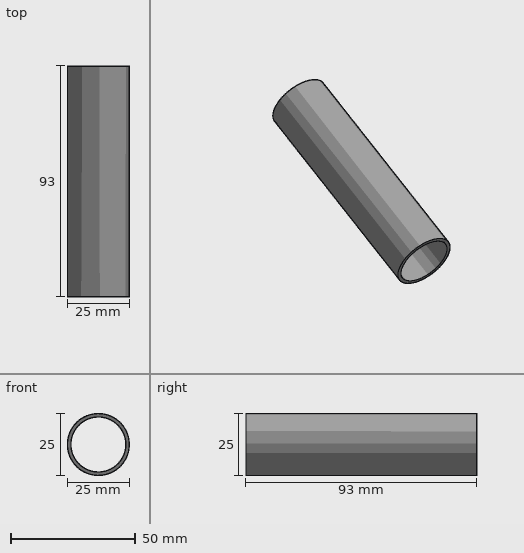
import cadquery as cq

length = 93.0
outer_diameter = 25.0
wall_thickness = 1.5
inner_diameter = outer_diameter - 2 * wall_thickness

result = (
    cq.Workplane("XZ", origin=(0, length / 2, 0))
    .circle(outer_diameter / 2)
    .circle(inner_diameter / 2)
    .extrude(length)
)